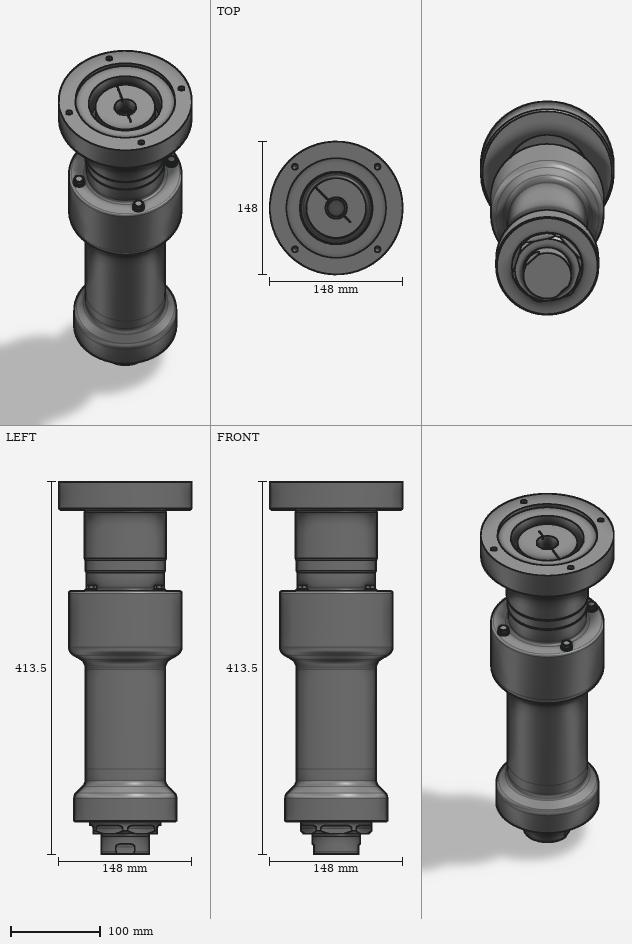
import cadquery as cq
import math

TOTAL_HEIGHT = 413.5
SPOUT_TOP = 22.5
NUT_TOP = 36.0

FLANGE_RADIUS = 74.0
FLANGE_BOTTOM = 382.0
FLANGE_CHAMFER = 2.0
RECESS_RADIUS = 55.5
RECESS_DEPTH = 5.0
FLANGE_HOLE_DIAMETER = 6.5
FLANGE_HOLE_DEPTH = 8.3
FLANGE_HOLE_CIRCLE_RADIUS = 65.0
DRILL_POINT_ANGLE = 118.0

COLUMN_RADIUS = 45.5
COLUMN_SHOULDER = 379.5
COLUMN_CHAMFER = 1.0
COLUMN_BOTTOM = 329.0
MIDDLE_STEP_DIAMETER = 89.0
MIDDLE_STEP_TOP = 326.5
MIDDLE_STEP_BOTTOM = 315.0
LOWER_STEP_RADIUS = 43.5
LOWER_STEP_TOP = 312.5
COLUMN_FOOT_FILLET = 3.5

COLLAR_RADIUS = 63.0
COLLAR_TOP = 292.5
COLLAR_EDGE_FILLET = 2.5
COLLAR_CONE_TOP = 224.0
COLLAR_CONE_ANGLE = 30.0
COLLAR_FILLET = 10.8
TUBE_DIAMETER = 89.0
TUBE_TOP_SEAM = 205.5
TUBE_BOTTOM_SEAM = 94.7
BELL_RADIUS = 57.0
BELL_CONE_TOP = 78.0
BELL_CONE_ANGLE = 45.0
BELL_FILLET = 9.0
BELL_CHAMFER = 1.2

SCREW_CIRCLE_RADIUS = 53.5
WASHER_DIAMETER = 13.0
WASHER_THICKNESS = 1.2
SPRING_WASHER_DIAMETER = 11.0
SPRING_WASHER_THICKNESS = 1.2
HEAD_SIDES = 6
HEAD_ACROSS_FLATS = 10.0
HEAD_HEIGHT = 4.0
HEAD_TOP_DIAMETER = 8.5
HEAD_CHAMFER_ANGLE = 30.0

CORE_TOP = 402.5
CORE_RADIUS = 33.0
CORE_HEIGHT = 25.0
CORE_FOOT_FILLET = 3.7
CORE_BASE_RADIUS = 39.3
CORE_BASE_THICKNESS = 8.3
CAVITY_RADIUS = 40.5
SOCKET_RADIUS = 12.0
SOCKET_DEPTH = 16.5
PILOT_DIAMETER = 19.0
PILOT_DEPTH = 20.5
SLOT_WIDTH = 1.0
SLOT_SHORT_REACH = 22.5
SLOT_DEPTH = 4.0
SLOT_ANGLE = 135.0

NUT_RADIUS = 39.3
NUT_ACROSS_FLATS = 70.7
NUT_FLAT_COUNT = 6
NUT_FLAT_TOP = 32.3
NUT_FLAT_CORNER_RADIUS = 3.7
NUT_CHAMFER = 3.5

SPOUT_DIAMETER = 53.8
SPOUT_NECK_RADIUS = 26.0
SPOUT_NECK_HEIGHT = 2.5
SPOUT_TIP_CHAMFER_HEIGHT = 3.0
SPOUT_TIP_CHAMFER = 0.5
SPOUT_ACROSS_FLATS = 49.5
SPOUT_FLAT_TOP = 12.0
SPOUT_FLAT_CORNER_RADIUS = 3.7

MIDDLE_STEP_RADIUS = MIDDLE_STEP_DIAMETER / 2
TUBE_RADIUS = TUBE_DIAMETER / 2
CORE_BASE_TOP = CORE_TOP - CORE_HEIGHT
CAVITY_FLOOR = CORE_BASE_TOP - CORE_BASE_THICKNESS
FILLET_BULGE = 1 - math.sqrt(0.5)
DIAGONALS = [45 + 90 * i for i in range(4)]


def polar(radius, angle):
    return radius * math.cos(math.radians(angle)), radius * math.sin(math.radians(angle))


def disc(radius, bottom, height):
    return cq.Workplane("XY").workplane(offset=bottom).circle(radius).extrude(height)


def revolved(outline):
    """Turn a (radius, z) outline about the Z axis, one face for each of its segments."""
    return outline.close().revolve(360, (0, 0, 0), (0, 1, 0), clean=False)


def corner_arc(radius, corner_z, cone_angle, fillet, outward):
    """Wall end, middle and cone end of the arc that rounds a corner of wall and cone.

    The corner is at (radius, corner_z). cone_angle is how steeply the cone climbs as its
    radius grows, negative where it falls. outward is +1 where the cone leaves the wall
    away from the axis and -1 where it leaves towards the axis.
    """
    climb = math.radians(cone_angle)
    half_turn = (math.pi / 2 - abs(climb)) / 2
    tangent = fillet * math.tan(half_turn)
    wall_side = -math.copysign(1, outward * cone_angle)
    wall_end = (radius, corner_z + wall_side * tangent)
    cone_end = (
        radius + outward * tangent * math.cos(climb),
        corner_z + outward * tangent * math.sin(climb),
    )
    middle = (
        radius + outward * fillet * (1 - math.cos(half_turn)),
        wall_end[1] - wall_side * fillet * math.sin(half_turn),
    )
    return wall_end, middle, cone_end


def housing_blank():
    collar_cone_drop = (COLLAR_RADIUS - TUBE_RADIUS) * math.tan(math.radians(COLLAR_CONE_ANGLE))
    bell_cone_drop = (BELL_RADIUS - TUBE_RADIUS) * math.tan(math.radians(BELL_CONE_ANGLE))
    collar_arc = corner_arc(COLLAR_RADIUS, COLLAR_CONE_TOP, COLLAR_CONE_ANGLE, COLLAR_FILLET, -1)
    neck_arc = corner_arc(
        TUBE_RADIUS, COLLAR_CONE_TOP - collar_cone_drop, COLLAR_CONE_ANGLE, COLLAR_FILLET, 1
    )
    waist_arc = corner_arc(TUBE_RADIUS, BELL_CONE_TOP, -BELL_CONE_ANGLE, BELL_FILLET, 1)
    bell_arc = corner_arc(
        BELL_RADIUS, BELL_CONE_TOP - bell_cone_drop, -BELL_CONE_ANGLE, BELL_FILLET, -1
    )

    foot_middle = (
        LOWER_STEP_RADIUS + COLUMN_FOOT_FILLET * FILLET_BULGE,
        COLLAR_TOP + COLUMN_FOOT_FILLET * FILLET_BULGE,
    )
    edge_middle = (
        COLLAR_RADIUS - COLLAR_EDGE_FILLET * FILLET_BULGE,
        COLLAR_TOP - COLLAR_EDGE_FILLET * FILLET_BULGE,
    )

    outline = (
        cq.Workplane("XZ")
        .moveTo(0, TOTAL_HEIGHT)
        .lineTo(FLANGE_RADIUS, TOTAL_HEIGHT)
        .lineTo(FLANGE_RADIUS, FLANGE_BOTTOM + FLANGE_CHAMFER)
        .lineTo(FLANGE_RADIUS - FLANGE_CHAMFER, FLANGE_BOTTOM)
        .lineTo(COLUMN_RADIUS - COLUMN_CHAMFER, FLANGE_BOTTOM)
        .lineTo(COLUMN_RADIUS, COLUMN_SHOULDER)
        .lineTo(COLUMN_RADIUS, COLUMN_BOTTOM)
        .lineTo(MIDDLE_STEP_RADIUS, MIDDLE_STEP_TOP)
        .lineTo(MIDDLE_STEP_RADIUS, MIDDLE_STEP_BOTTOM)
        .lineTo(LOWER_STEP_RADIUS, LOWER_STEP_TOP)
        .lineTo(LOWER_STEP_RADIUS, COLLAR_TOP + COLUMN_FOOT_FILLET)
        .threePointArc(foot_middle, (LOWER_STEP_RADIUS + COLUMN_FOOT_FILLET, COLLAR_TOP))
        .lineTo(COLLAR_RADIUS - COLLAR_EDGE_FILLET, COLLAR_TOP)
        .threePointArc(edge_middle, (COLLAR_RADIUS, COLLAR_TOP - COLLAR_EDGE_FILLET))
        .lineTo(*collar_arc[0])
        .threePointArc(collar_arc[1], collar_arc[2])
        .lineTo(*neck_arc[2])
        .threePointArc(neck_arc[1], neck_arc[0])
        .lineTo(TUBE_RADIUS, TUBE_TOP_SEAM)
        .lineTo(TUBE_RADIUS, TUBE_BOTTOM_SEAM)
        .lineTo(*waist_arc[0])
        .threePointArc(waist_arc[1], waist_arc[2])
        .lineTo(*bell_arc[2])
        .threePointArc(bell_arc[1], bell_arc[0])
        .lineTo(BELL_RADIUS, NUT_TOP + BELL_CHAMFER)
        .lineTo(BELL_RADIUS - BELL_CHAMFER, NUT_TOP)
        .lineTo(0, NUT_TOP)
    )
    return revolved(outline)


def flange_hole(angle):
    """Blind drilled hole with a conical end, open at the flange top."""
    radius = FLANGE_HOLE_DIAMETER / 2
    point_depth = radius / math.tan(math.radians(DRILL_POINT_ANGLE / 2))
    floor = TOTAL_HEIGHT - FLANGE_HOLE_DEPTH
    outline = (
        cq.Workplane("XZ")
        .moveTo(0, TOTAL_HEIGHT)
        .lineTo(radius, TOTAL_HEIGHT)
        .lineTo(radius, floor)
        .lineTo(0, floor - point_depth)
    )
    x, y = polar(FLANGE_HOLE_CIRCLE_RADIUS, angle)
    return revolved(outline).translate((x, y, 0))


def screw_stack(angle):
    """Washer, spring washer and hexagon head, with corners along Y."""
    spring_bottom = COLLAR_TOP + WASHER_THICKNESS
    head_bottom = spring_bottom + SPRING_WASHER_THICKNESS
    head_top = head_bottom + HEAD_HEIGHT
    corner_radius = HEAD_ACROSS_FLATS / 2 / math.cos(math.pi / HEAD_SIDES)
    chamfer_width = corner_radius - HEAD_TOP_DIAMETER / 2
    chamfer_drop = chamfer_width * math.tan(math.radians(HEAD_CHAMFER_ANGLE))

    head = (
        cq.Workplane("XY")
        .workplane(offset=head_bottom)
        .polygon(HEAD_SIDES, 2 * corner_radius)
        .extrude(HEAD_HEIGHT)
        .rotate((0, 0, 0), (0, 0, 1), 180 / HEAD_SIDES)
    )
    head_envelope = revolved(
        cq.Workplane("XZ")
        .moveTo(0, head_bottom)
        .lineTo(corner_radius, head_bottom)
        .lineTo(corner_radius, head_top - chamfer_drop)
        .lineTo(HEAD_TOP_DIAMETER / 2, head_top)
        .lineTo(0, head_top)
    )
    stack = (
        disc(WASHER_DIAMETER / 2, COLLAR_TOP, WASHER_THICKNESS)
        .union(disc(SPRING_WASHER_DIAMETER / 2, spring_bottom, SPRING_WASHER_THICKNESS))
        .union(head.intersect(head_envelope))
    )
    x, y = polar(SCREW_CIRCLE_RADIUS, angle)
    return stack.translate((x, y, 0))


def make_housing():
    """Flange, column, collar, tube and bell in one, with the screw heads on the collar."""
    recess = disc(RECESS_RADIUS, TOTAL_HEIGHT - RECESS_DEPTH, RECESS_DEPTH)
    cavity = disc(CAVITY_RADIUS, CAVITY_FLOOR, TOTAL_HEIGHT - CAVITY_FLOOR)
    housing = housing_blank().cut(recess, clean=False).cut(cavity, clean=False)
    for angle in DIAGONALS:
        housing = housing.cut(flange_hole(angle), clean=False)
        housing = housing.union(screw_stack(angle), clean=False)
    return housing


def make_socket_core():
    """Round core on a wider base in the cavity, with a stepped socket and a cross slot."""
    foot_middle = (
        CORE_RADIUS + CORE_FOOT_FILLET * FILLET_BULGE,
        CORE_BASE_TOP + CORE_FOOT_FILLET * FILLET_BULGE,
    )
    core = revolved(
        cq.Workplane("XZ")
        .moveTo(0, CAVITY_FLOOR)
        .lineTo(CORE_BASE_RADIUS, CAVITY_FLOOR)
        .lineTo(CORE_BASE_RADIUS, CORE_BASE_TOP)
        .lineTo(CORE_RADIUS + CORE_FOOT_FILLET, CORE_BASE_TOP)
        .threePointArc(foot_middle, (CORE_RADIUS, CORE_BASE_TOP + CORE_FOOT_FILLET))
        .lineTo(CORE_RADIUS, CORE_TOP)
        .lineTo(0, CORE_TOP)
    )
    socket = disc(SOCKET_RADIUS, CORE_TOP - SOCKET_DEPTH, SOCKET_DEPTH)
    pilot = disc(PILOT_DIAMETER / 2, CORE_TOP - PILOT_DEPTH, PILOT_DEPTH)
    slot = (
        cq.Workplane("XY")
        .box(CORE_RADIUS + SLOT_SHORT_REACH, SLOT_WIDTH, SLOT_DEPTH, centered=(False, True, False))
        .translate((-SLOT_SHORT_REACH, 0, CORE_TOP - SLOT_DEPTH))
        .rotate((0, 0, 0), (0, 0, 1), SLOT_ANGLE)
    )
    return core.cut(socket).cut(pilot).cut(slot)


def wrench_flat(body_radius, across_flats, bottom, top, corner_radius, angle):
    """Cutter for one flat that curves out to the round body at its top."""
    flat_distance = across_flats / 2
    outer = body_radius + corner_radius
    corner_middle = (
        flat_distance + corner_radius * FILLET_BULGE,
        top - corner_radius * FILLET_BULGE,
    )
    cutter = (
        cq.Workplane("XZ")
        .moveTo(flat_distance, bottom)
        .lineTo(flat_distance, top - corner_radius)
        .threePointArc(corner_middle, (flat_distance + corner_radius, top))
        .lineTo(outer, top)
        .lineTo(outer, bottom)
        .close()
        .extrude(body_radius, both=True)
    )
    return cutter.rotate((0, 0, 0), (0, 0, 1), angle)


def make_gland_nut():
    nut = disc(NUT_RADIUS, SPOUT_TOP, NUT_TOP - SPOUT_TOP).faces("<Z").chamfer(NUT_CHAMFER)
    for i in range(NUT_FLAT_COUNT):
        angle = (i + 0.5) * 360 / NUT_FLAT_COUNT
        flat = wrench_flat(
            NUT_RADIUS, NUT_ACROSS_FLATS, SPOUT_TOP, NUT_FLAT_TOP, NUT_FLAT_CORNER_RADIUS, angle
        )
        nut = nut.cut(flat)
    return nut


def make_spout():
    radius = SPOUT_DIAMETER / 2
    spout = revolved(
        cq.Workplane("XZ")
        .moveTo(0, 0)
        .lineTo(radius - SPOUT_TIP_CHAMFER, 0)
        .lineTo(radius, SPOUT_TIP_CHAMFER_HEIGHT)
        .lineTo(radius, SPOUT_TOP - SPOUT_NECK_HEIGHT)
        .lineTo(SPOUT_NECK_RADIUS, SPOUT_TOP)
        .lineTo(0, SPOUT_TOP)
    )
    for angle in (0, 180):
        spout = spout.cut(
            wrench_flat(radius, SPOUT_ACROSS_FLATS, 0, SPOUT_FLAT_TOP, SPOUT_FLAT_CORNER_RADIUS, angle)
        )
    return spout


housing = make_housing()
socket_core = make_socket_core()
gland_nut = make_gland_nut()
spout = make_spout()

result = cq.Compound.makeCompound([housing.val(), socket_core.val(), gland_nut.val(), spout.val()])